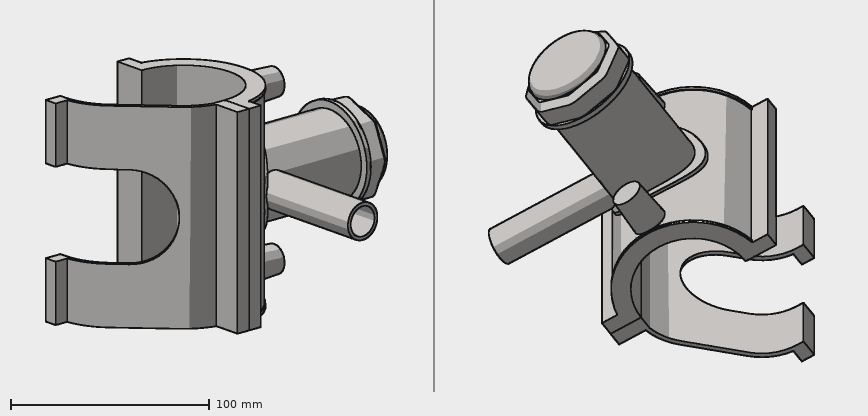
import cadquery as cq
import math

LENGTH = 118.0

PIPE_RADIUS = 31.5
SHELL_RADIUS = 41.0
RIM_RADIUS = 41.5
RIM_WIDTH = 2.0
PAD_RADIUS = 42.7
PAD_DIAMETER = 56.6
FLANGE_HALF_SPAN = 50.0
FLANGE_THICKNESS = 8.0

TOWER_DIAMETER = 48.1
TOWER_BORE = 39.6
TOWER_TOP = 98.7
OUTLET_DIAMETER = 20.0
OUTLET_BORE = 16.0
OUTLET_Y = 41.0
OUTLET_END = 90.0

COLLAR_DIAMETER = 56.6
COLLAR_HEIGHT = 2.8
GRIP_HEIGHT = 13.0
GRIP_CORNER_RADIUS = 6.6
GRIP_APOTHEM = 26.2
GRIP_SIDES = 8
GRIP_CHAMFER = 3.4
DOME_DIAMETER = 45.3
TOTAL_TOP = 121.4

BOSS_TIP_DIAMETER = 16.0
BOSS_BASE_DIAMETER = 18.1
BOSS_TIP_Y = 61.4
BOSS_OFFSET = 47.2

STRAP_INNER_RADIUS = math.hypot(PIPE_RADIUS, FLANGE_THICKNESS)
STRAP_THICKNESS = 2.5
STRAP_OUTER_RADIUS = STRAP_INNER_RADIUS + STRAP_THICKNESS
BEND_ANGLE = 45.0
BEND_SHIFT = 25.0
TAB_WIDTH = 7.5
TAB_END_Y = -67.4
WINDOW_WIDTH = 50.4


def cylinder_y(diameter, start, end):
    """Cylinder on the Y axis between two Y positions."""
    base = cq.Workplane("XZ", origin=(0, start, 0))
    return base.circle(diameter / 2).extrude(start - end)


def cylinder_x(diameter, end):
    """Cylinder along +X from the tower axis, at the height of the side outlet."""
    return cq.Workplane("YZ").center(OUTLET_Y, 0).circle(diameter / 2).extrude(end)


def cylinder_z(radius, length):
    """Cylinder on the pipe axis, centred on Z = 0."""
    base = cq.Workplane("XY", origin=(0, 0, -length / 2))
    return base.circle(radius).extrude(length)


def make_shell():
    """Outer half shell with end rims, flanges and pad, before the pipe bore is cut."""
    shell = cylinder_z(SHELL_RADIUS, LENGTH)
    rim_offset = (LENGTH - RIM_WIDTH) / 2
    for side in (-1, 1):
        shell = shell.union(cylinder_z(RIM_RADIUS, RIM_WIDTH).translate((0, 0, side * rim_offset)))
    pad = cylinder_z(PAD_RADIUS, LENGTH).intersect(cylinder_y(PAD_DIAMETER, 0, PAD_RADIUS))
    upper_half = cq.Workplane("XY").box(
        2 * FLANGE_HALF_SPAN, PAD_RADIUS, LENGTH, centered=(True, False, True)
    )
    flanges = cq.Workplane("XY").box(
        2 * FLANGE_HALF_SPAN, FLANGE_THICKNESS, LENGTH, centered=(True, False, True)
    )
    return shell.union(pad).intersect(upper_half).union(flanges)


def make_boss(z):
    """Tapered boss pointing along +Y, rooted inside the shell wall."""
    taper = (BOSS_BASE_DIAMETER - BOSS_TIP_DIAMETER) / 2 / (BOSS_TIP_Y - SHELL_RADIUS)
    root_y = (PIPE_RADIUS + SHELL_RADIUS) / 2
    root_radius = BOSS_TIP_DIAMETER / 2 + taper * (BOSS_TIP_Y - root_y)
    profile = [(0, root_y), (root_radius, root_y), (BOSS_TIP_DIAMETER / 2, BOSS_TIP_Y), (0, BOSS_TIP_Y)]
    boss = cq.Workplane("XY").polyline(profile).close().revolve(360, (0, 0), (0, 1))
    return boss.translate((0, 0, z))


def make_dome(base_y):
    """Disc whose rim is rounded over its full height."""
    radius = DOME_DIAMETER / 2
    rounding = TOTAL_TOP - base_y
    flat_radius = radius - rounding
    rounding_mid = rounding * math.sqrt(0.5)
    return (
        cq.Workplane("XY")
        .moveTo(0, base_y)
        .lineTo(radius, base_y)
        .threePointArc((flat_radius + rounding_mid, base_y + rounding_mid), (flat_radius, TOTAL_TOP))
        .lineTo(0, TOTAL_TOP)
        .close()
        .revolve(360, (0, 0), (0, 1))
    )


def make_cap():
    """Collar, octagonal grip with rounded corners on the X and Z axes, and domed top."""
    grip_base = TOWER_TOP + COLLAR_HEIGHT
    grip_top = grip_base + GRIP_HEIGHT
    corner_diameter = 2 * GRIP_APOTHEM / math.cos(math.pi / GRIP_SIDES)
    collar = cylinder_y(COLLAR_DIAMETER, TOWER_TOP, grip_base)
    grip = (
        cq.Workplane("XZ", origin=(0, grip_base, 0))
        .polygon(GRIP_SIDES, corner_diameter)
        .extrude(-GRIP_HEIGHT)
        .edges("|Y")
        .fillet(GRIP_CORNER_RADIUS)
        .faces(">Y")
        .chamfer(GRIP_CHAMFER)
    )
    return collar.union(grip).union(make_dome(grip_top))


def make_saddle():
    """Saddle body: shell, bosses, tower, cap and outlet, with the connecting bores."""
    saddle = make_shell()
    for side in (-1, 1):
        saddle = saddle.union(make_boss(side * BOSS_OFFSET))
    saddle = saddle.union(cylinder_y(TOWER_DIAMETER, 0, TOWER_TOP))
    saddle = saddle.union(cylinder_x(OUTLET_DIAMETER, OUTLET_END))
    saddle = saddle.union(make_cap())
    saddle = saddle.cut(cylinder_z(PIPE_RADIUS, LENGTH))
    saddle = saddle.cut(cylinder_y(TOWER_BORE, 0, TOWER_TOP))
    return saddle.cut(cylinder_x(OUTLET_BORE, OUTLET_END))


def bend_point(radius, angle, shift):
    """Point on a strap arc; angle is measured clockwise from +X, shift moves the arc along -X-Y."""
    turn = math.radians(angle)
    return (radius * math.cos(turn) - shift, -radius * math.sin(turn) - shift)


def make_band():
    """Thin band: an arc about the pipe axis, a straight run, then an arc down to the tab."""
    inner, outer = STRAP_INNER_RADIUS, STRAP_OUTER_RADIUS
    inner_start = math.degrees(math.asin(FLANGE_THICKNESS / inner))
    outer_start = math.degrees(math.asin(FLANGE_THICKNESS / outer))
    end_mid = (BEND_ANGLE + 90) / 2
    band = (
        cq.Workplane("XY")
        .moveTo(*bend_point(inner, inner_start, 0))
        .threePointArc(
            bend_point(inner, (inner_start + BEND_ANGLE) / 2, 0), bend_point(inner, BEND_ANGLE, 0)
        )
        .lineTo(*bend_point(inner, BEND_ANGLE, BEND_SHIFT))
        .threePointArc(bend_point(inner, end_mid, BEND_SHIFT), bend_point(inner, 90, BEND_SHIFT))
        .lineTo(*bend_point(outer, 90, BEND_SHIFT))
        .threePointArc(
            bend_point(outer, end_mid, BEND_SHIFT), bend_point(outer, BEND_ANGLE, BEND_SHIFT)
        )
        .lineTo(*bend_point(outer, BEND_ANGLE, 0))
        .threePointArc(
            bend_point(outer, (outer_start + BEND_ANGLE) / 2, 0), bend_point(outer, outer_start, 0)
        )
        .close()
    )
    return band.extrude(LENGTH).translate((0, 0, -LENGTH / 2))


def make_window():
    """Round-ended slot square to the straight run, starting at its upper end and open past the tab."""
    radius = WINDOW_WIDTH / 2
    length = BEND_SHIFT * math.sqrt(2) - TAB_END_Y
    run_plane = cq.Plane(origin=(0, 0, 0), xDir=(-1, -1, 0), normal=(1, -1, 0))
    slot = cq.Workplane(run_plane).center(radius, 0).circle(radius).extrude(2 * STRAP_OUTER_RADIUS)
    channel = (
        cq.Workplane(run_plane)
        .center(radius + length / 2, 0)
        .rect(length, WINDOW_WIDTH)
        .extrude(2 * STRAP_OUTER_RADIUS)
    )
    return slot.union(channel)


def make_strap():
    """Strap body: flange under the saddle flange, bent band and hook tab, split by the window."""
    flange_width = FLANGE_HALF_SPAN - PIPE_RADIUS
    flange = cq.Workplane("XY").box(flange_width, FLANGE_THICKNESS, LENGTH).translate(
        (PIPE_RADIUS + flange_width / 2, -FLANGE_THICKNESS / 2, 0)
    )
    tab_x, tab_top = bend_point(STRAP_INNER_RADIUS, 90, BEND_SHIFT)
    tab_height = tab_top - TAB_END_Y
    tab = cq.Workplane("XY").box(TAB_WIDTH, tab_height, LENGTH).translate(
        (tab_x, tab_top - tab_height / 2, 0)
    )
    return flange.union(make_band()).union(tab).cut(make_window())


saddle = make_saddle()
strap = make_strap()
result = cq.Compound.makeCompound([saddle.val(), strap.val()])